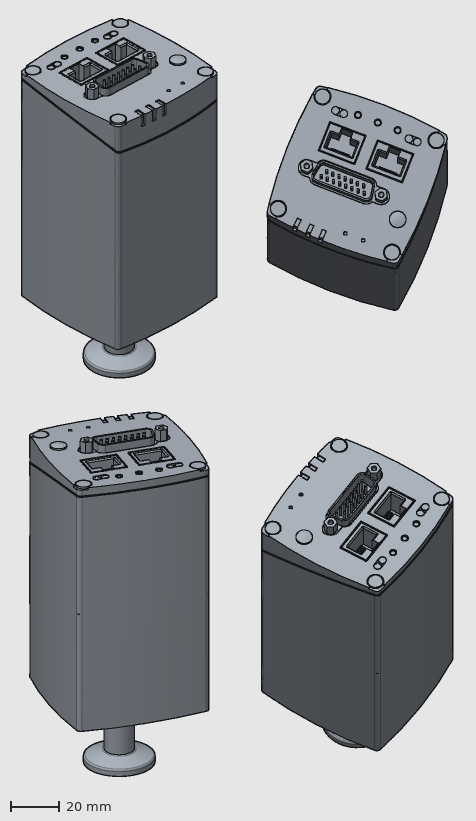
import cadquery as cq
import math

TOTAL_HEIGHT = 148.1

FLANGE_DIA = 30.0
FLANGE_RIM_HEIGHT = 3.0
FLANGE_RIM_RADIUS = 0.9
CONE_TOP_DIA = 14.0
CONE_TOP_Z = 5.6
STEM_DIA = 12.7
STEM_START_Z = 5.9

HOUSING_X = 63.0
HOUSING_Y = 62.8
HOUSING_CORNER = 29.2
HOUSING_CORNER_RADIUS = 2.0
HOUSING_BOTTOM_Z = 31.4
CONNECTOR_HEIGHT = 4.5
HOUSING_TOP_Z = TOTAL_HEIGHT - CONNECTOR_HEIGHT

SEAM_DROP_LEFT = 3.7
SEAM_DROP_MIDDLE = 6.5
SEAM_DROP_RIGHT = 14.5
SEAM_WIDTH = 0.5
SEAM_DEPTH = 0.3

SCREW_OFFSET = 25.5
SCREW_HEAD_DIA = 6.4
SCREW_RECESS_DIA = 7.0
SCREW_RECESS_DEPTH = 0.9
SCREW_NOTCH_START = 24.9

JACK_X = -10.0
JACK_SPACING = 21.3
JACK_FRAME_X = 13.2
JACK_FRAME_Y = 16.3
JACK_GAP = 0.5
JACK_GAP_DEPTH = 0.5
JACK_OPENING_LEFT = -12.6
JACK_OPENING_RIGHT = -6.0
JACK_OPENING_Y = 11.8
JACK_BEVEL = 0.6
JACK_DEPTH = 11.8
LATCH_LEFT = -15.7
LATCH_Y = 5.0
CONTACT_COUNT = 8
CONTACT_PITCH = 1.0
CONTACT_WIDTH = 0.6
CONTACT_LENGTH = 2.0
CONTACT_HEIGHT = 1.5

DSUB_X = 5.0
DSUB_Y = -4.0
SHELL_CENTER_X = 4.9
SHELL_X = 9.5
SHELL_Y = 26.0
SHELL_SLANT = 10.0
SHELL_CORNER_RADIUS = 2.5
SHELL_WALL = 0.7
SHELL_HEIGHT = 3.1
SHELL_FLOOR_DROP = 2.8
CUTOUT_GAP = 0.9
CUTOUT_DEPTH = 0.7
PIN_DIA = 1.0
PIN_COUNT = 8
PIN_ROW_LENGTH = 19.3
PIN_ROW_GAP = 2.8
PIN_TOP = 2.7
NUT_SPACING = 33.3
NUT_FLATS = 4.9
NUT_POCKET_DIA = 7.0
NUT_HOLE_DIA = 2.2
NUT_HOLE_DEPTH = 1.2
NUT_CONE_DEPTH = 1.2

BUTTON_X = 11.7
BUTTON_Y = 22.7
BUTTON_DIA = 7.0
BUTTON_RIM = 0.7
BUTTON_DOME = 0.6

PAIR_X = -21.9
PAIR_Y = 16.5
LAMP_DIA = 3.3
LAMP_SPACING = 3.7
LAMP_RECESS_DEPTH = 0.7
LAMP_TOP_DROP = 0.3
SOCKET_X = -23.5
SOCKET_PITCH = 8.9
SOCKET_DIA = 3.0
SOCKET_DEPTH = 0.3
SOCKET_BORE_DIA = 2.2
SOCKET_BORE_DEPTH = 0.3
PINHOLE_X = 25.0
PINHOLE_YS = (12.5, 4.5)
PINHOLE_DIA = 1.5
PINHOLE_DEPTH = 1.5

LIGHT_YS = (-4.3, -10.0, -16.0)
LIGHT_INNER = 4.5
LIGHT_WIDTH = 1.8
LIGHT_TOP_DEPTH = 0.6
LIGHT_SIDE_DEPTH = 1.0
LIGHT_DROP = 5.3


def block(x_min, x_max, y_min, y_max, z_min, z_max):
    size = (x_max - x_min, y_max - y_min, z_max - z_min)
    return cq.Workplane("XY").box(*size, centered=False).translate((x_min, y_min, z_min))


def cylinder(x, y, diameter, z_min, z_max):
    return cq.Workplane("XY", origin=(x, y, z_min)).circle(diameter / 2).extrude(z_max - z_min)


def top_hole(x, y, diameter, depth):
    return cylinder(x, y, diameter, HOUSING_TOP_Z - depth, HOUSING_TOP_Z)


def make_stem():
    flange_radius = FLANGE_DIA / 2
    return (
        cq.Workplane("XZ")
        .lineTo(flange_radius, 0)
        .lineTo(flange_radius, FLANGE_RIM_HEIGHT)
        .lineTo(CONE_TOP_DIA / 2, CONE_TOP_Z)
        .lineTo(STEM_DIA / 2, STEM_START_Z)
        .lineTo(STEM_DIA / 2, HOUSING_BOTTOM_Z)
        .lineTo(0, HOUSING_BOTTOM_Z)
        .close()
        .revolve(360, (0, 0), (0, 1))
        .edges(cq.selectors.NearestToPointSelector((0, 0, FLANGE_RIM_HEIGHT)))
        .fillet(FLANGE_RIM_RADIUS)
    )


def make_housing(inset=0.0):
    corner = HOUSING_CORNER - inset
    half_x = HOUSING_X / 2 - inset
    half_y = HOUSING_Y / 2 - inset
    return (
        cq.Workplane("XY", origin=(0, 0, HOUSING_BOTTOM_Z))
        .moveTo(-corner, -corner)
        .threePointArc((0, -half_y), (corner, -corner))
        .threePointArc((half_x, 0), (corner, corner))
        .threePointArc((0, half_y), (-corner, corner))
        .threePointArc((-half_x, 0), (-corner, -corner))
        .close()
        .extrude(HOUSING_TOP_Z - HOUSING_BOTTOM_Z)
        .edges("|Z")
        .fillet(HOUSING_CORNER_RADIUS - inset)
    )


def make_seam():
    """Shallow groove all around the housing, following an arc in XZ."""
    half_x = HOUSING_X / 2
    z_left = HOUSING_TOP_Z - SEAM_DROP_LEFT
    z_middle = HOUSING_TOP_Z - SEAM_DROP_MIDDLE
    z_right = HOUSING_TOP_Z - SEAM_DROP_RIGHT
    band = (
        cq.Workplane("XZ")
        .moveTo(-half_x, z_left)
        .threePointArc((0, z_middle), (half_x, z_right))
        .lineTo(half_x, z_right - SEAM_WIDTH)
        .threePointArc((0, z_middle - SEAM_WIDTH), (-half_x, z_left - SEAM_WIDTH))
        .close()
        .extrude(HOUSING_Y / 2, both=True)
    )
    return band.cut(make_housing(SEAM_DEPTH))


def cut_corner_screws(body):
    floor_z = HOUSING_TOP_Z - SCREW_RECESS_DEPTH
    for side_x in (-1, 1):
        for side_y in (-1, 1):
            x = side_x * SCREW_OFFSET
            y = side_y * SCREW_OFFSET
            x_limits = sorted((side_x * SCREW_NOTCH_START, side_x * HOUSING_X / 2))
            y_limits = sorted((side_y * SCREW_NOTCH_START, side_y * HOUSING_Y / 2))
            notch = block(*x_limits, *y_limits, floor_z, HOUSING_TOP_Z)
            recess = notch.union(top_hole(x, y, SCREW_RECESS_DIA, SCREW_RECESS_DEPTH))
            body = body.cut(recess.cut(top_hole(x, y, SCREW_HEAD_DIA, SCREW_RECESS_DEPTH)))
    return body


def cut_jack(body, center_y):
    top = HOUSING_TOP_Z

    frame_gap = (
        cq.Workplane("XY", origin=(JACK_X, center_y, top))
        .rect(JACK_FRAME_X, JACK_FRAME_Y)
        .rect(JACK_FRAME_X - 2 * JACK_GAP, JACK_FRAME_Y - 2 * JACK_GAP)
        .extrude(-JACK_GAP_DEPTH)
    )
    body = body.cut(frame_gap)

    half_y = JACK_OPENING_Y / 2
    half_latch = LATCH_Y / 2
    floor_z = top - JACK_DEPTH
    opening = block(JACK_OPENING_LEFT, JACK_OPENING_RIGHT, center_y - half_y, center_y + half_y, floor_z, top)
    bevel = (
        cq.Workplane("XY", origin=((JACK_OPENING_LEFT + JACK_OPENING_RIGHT) / 2, center_y, top - JACK_BEVEL))
        .rect(JACK_OPENING_RIGHT - JACK_OPENING_LEFT, JACK_OPENING_Y)
        .extrude(JACK_BEVEL, taper=-45)
    )
    latch = block(LATCH_LEFT, JACK_OPENING_LEFT, center_y - half_latch, center_y + half_latch, floor_z, top)
    body = body.cut(opening.union(bevel).union(latch))

    contact_left = JACK_OPENING_RIGHT - CONTACT_LENGTH
    contact_top = floor_z + CONTACT_HEIGHT
    for index in range(CONTACT_COUNT):
        y = center_y + (index - (CONTACT_COUNT - 1) / 2) * CONTACT_PITCH
        y_limits = (y - CONTACT_WIDTH / 2, y + CONTACT_WIDTH / 2)
        body = body.union(block(contact_left, JACK_OPENING_RIGHT, *y_limits, floor_z, contact_top))
    return body


def d_prism(offset, z_min, z_max):
    """D-shaped prism, wide toward +X, grown outward by the offset."""
    half_x = SHELL_X / 2 + offset
    taper = half_x * math.tan(math.radians(SHELL_SLANT))
    half_y = SHELL_Y / 2 + offset
    return (
        cq.Workplane("XY", origin=(SHELL_CENTER_X, DSUB_Y, z_min))
        .polyline([
            (-half_x, -half_y + taper),
            (half_x, -half_y - taper),
            (half_x, half_y + taper),
            (-half_x, half_y - taper),
        ])
        .close()
        .extrude(z_max - z_min)
        .edges("|Z")
        .fillet(SHELL_CORNER_RADIUS + offset)
    )


def add_dsub(body):
    top = HOUSING_TOP_Z
    cutout_floor = top - CUTOUT_DEPTH
    shell_floor = top - SHELL_FLOOR_DROP
    shell_top = top + SHELL_HEIGHT

    cutout = d_prism(CUTOUT_GAP, cutout_floor, top)
    ends = (
        cq.Workplane("XY", origin=(DSUB_X, DSUB_Y, cutout_floor))
        .slot2D(NUT_SPACING + NUT_POCKET_DIA, NUT_POCKET_DIA, 90)
        .extrude(CUTOUT_DEPTH)
    )
    body = body.cut(cutout.union(ends))
    body = body.union(d_prism(0, cutout_floor, shell_top))
    body = body.cut(d_prism(-SHELL_WALL, shell_floor, shell_top))

    pin_pitch = PIN_ROW_LENGTH / (PIN_COUNT - 1)
    for side, count in ((1, PIN_COUNT), (-1, PIN_COUNT - 1)):
        x = DSUB_X + side * PIN_ROW_GAP / 2
        for index in range(count):
            y = DSUB_Y + (index - (count - 1) / 2) * pin_pitch
            body = body.union(cylinder(x, y, PIN_DIA, shell_floor, top + PIN_TOP))

    for side in (-1, 1):
        y = DSUB_Y + side * NUT_SPACING / 2
        nut = (
            cq.Workplane("XY", origin=(DSUB_X, y, cutout_floor))
            .transformed(rotate=(0, 0, 90))
            .polygon(6, NUT_FLATS / math.cos(math.pi / 6))
            .extrude(TOTAL_HEIGHT - cutout_floor)
        )
        radius = NUT_HOLE_DIA / 2
        cone_z = TOTAL_HEIGHT - NUT_HOLE_DEPTH
        hole = (
            cq.Workplane("XZ")
            .moveTo(0, TOTAL_HEIGHT)
            .lineTo(radius, TOTAL_HEIGHT)
            .lineTo(radius, cone_z)
            .lineTo(0, cone_z - NUT_CONE_DEPTH)
            .close()
            .revolve(360, (0, 0), (0, 1))
            .translate((DSUB_X, y, 0))
        )
        body = body.union(nut).cut(hole)
    return body


def make_button():
    radius = BUTTON_DIA / 2
    rim_z = HOUSING_TOP_Z + BUTTON_RIM
    dome_z = rim_z + BUTTON_DOME
    sphere_radius = (radius ** 2 + BUTTON_DOME ** 2) / (2 * BUTTON_DOME)
    angle = math.asin(radius / sphere_radius) / 2
    middle = (
        sphere_radius * math.sin(angle),
        dome_z - sphere_radius * (1 - math.cos(angle)),
    )
    return (
        cq.Workplane("XZ")
        .moveTo(0, HOUSING_TOP_Z)
        .lineTo(radius, HOUSING_TOP_Z)
        .lineTo(radius, rim_z)
        .threePointArc(middle, (0, dome_z))
        .close()
        .revolve(360, (0, 0), (0, 1))
        .translate((BUTTON_X, BUTTON_Y, 0))
    )


def make_lamp_recess(center_y):
    """Oblong recess with two lamps standing just below its rim."""
    lamp_bottom = HOUSING_TOP_Z - LAMP_RECESS_DEPTH
    lamp_top = HOUSING_TOP_Z - LAMP_TOP_DROP
    recess = (
        cq.Workplane("XY", origin=(PAIR_X, center_y, HOUSING_TOP_Z))
        .slot2D(LAMP_SPACING + LAMP_DIA, LAMP_DIA, 90)
        .extrude(-LAMP_RECESS_DEPTH)
    )
    for side in (-1, 1):
        y = center_y + side * LAMP_SPACING / 2
        recess = recess.cut(cylinder(PAIR_X, y, LAMP_DIA, lamp_bottom, lamp_top))
    return recess


def make_light_slot(y):
    """L-shaped slot over the +X edge, square to the bowed side face."""
    sagitta = HOUSING_X / 2 - HOUSING_CORNER
    bow_radius = (HOUSING_CORNER ** 2 + sagitta ** 2) / (2 * sagitta)
    bow_center_x = HOUSING_X / 2 - bow_radius
    half = LIGHT_WIDTH / 2
    inner = bow_radius - LIGHT_INNER
    ledge = bow_radius - LIGHT_SIDE_DEPTH
    outer = bow_radius + LIGHT_SIDE_DEPTH
    top = HOUSING_TOP_Z
    slot = block(inner, outer, -half, half, top - LIGHT_TOP_DEPTH, top)
    slot = slot.union(block(ledge, outer, -half, half, top - LIGHT_DROP, top))
    angle = math.degrees(math.asin(y / bow_radius))
    return slot.rotate((0, 0, 0), (0, 0, 1), angle).translate((bow_center_x, 0, 0))


result = make_housing().cut(make_seam())
result = cut_corner_screws(result)
for jack_side in (-1, 1):
    result = cut_jack(result, jack_side * JACK_SPACING / 2)
    result = result.cut(make_lamp_recess(jack_side * PAIR_Y))
for step in (-1, 0, 1):
    socket_y = step * SOCKET_PITCH
    result = result.cut(top_hole(SOCKET_X, socket_y, SOCKET_DIA, SOCKET_DEPTH))
    result = result.cut(top_hole(SOCKET_X, socket_y, SOCKET_BORE_DIA, SOCKET_DEPTH + SOCKET_BORE_DEPTH))
for pinhole_y in PINHOLE_YS:
    result = result.cut(top_hole(PINHOLE_X, pinhole_y, PINHOLE_DIA, PINHOLE_DEPTH))
for light_y in LIGHT_YS:
    result = result.cut(make_light_slot(light_y))
result = add_dsub(result)
result = result.union(make_button()).union(make_stem())